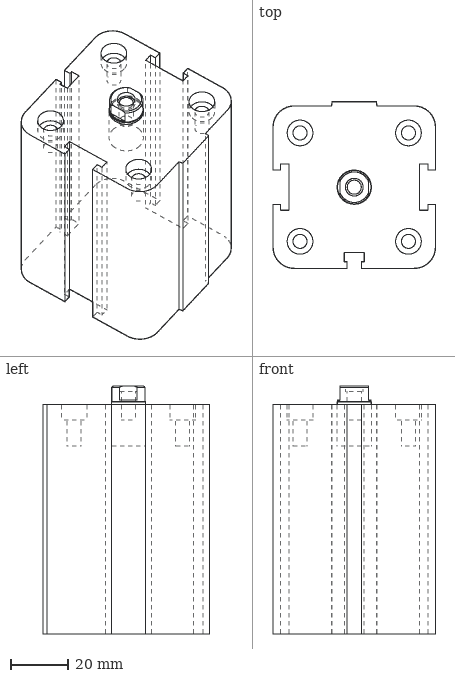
import cadquery as cq

width = 57.0
half_width = width / 2
corner_radius = 7.5
body_height = 80.5
cap_height = 14.5

rib_foot_width = 16.0
rib_top_width = 15.5
rib_height = 1.5

slot_depth = 5.6
side_slot_opening = 12.0
side_slot_width = 16.1
side_slot_lip = 2.7
front_slot_opening = 5.0
front_slot_width = 7.0
front_slot_lip = 2.4

mounting_pitch = 38.0
mounting_bore_diameter = 9.0
mounting_bore_depth = 5.4
mounting_hole_diameter = 4.92
mounting_hole_depth = cap_height

overall_height = 87.0
rod_diameter = 12.0
rod_seat_depth = cap_height
rod_seat_z = body_height - rod_seat_depth
collar_height = 1.2
collar_chamfer = 0.3

head_diameter = 11.7
head_height = overall_height - body_height
head_chamfer = 0.5
across_flats = 10.0
flat_start = 1.5

thread_diameter = 4.92
thread_depth = 12.0
thread_mouth_diameter = 6.2
thread_mouth_depth = 2.0


def t_slot(opening, inner_width, lip):
    """Cutter for a full-height T-slot that opens on the -Y face."""
    outer_y = -half_width
    lip_y = outer_y + lip
    floor_y = outer_y + slot_depth
    return (
        cq.Workplane("XY")
        .polyline([
            (-opening / 2, outer_y),
            (-opening / 2, lip_y),
            (-inner_width / 2, lip_y),
            (-inner_width / 2, floor_y),
            (inner_width / 2, floor_y),
            (inner_width / 2, lip_y),
            (opening / 2, lip_y),
            (opening / 2, outer_y),
        ])
        .close()
        .extrude(body_height)
    )


def make_housing():
    """Square housing with a rib, three T-slots, four mounting holes and the rod bore."""
    block = (
        cq.Workplane("XY")
        .rect(width, width)
        .extrude(body_height)
        .edges("|Z")
        .fillet(corner_radius)
    )
    rib = (
        cq.Workplane("XY")
        .polyline([
            (-rib_foot_width / 2, half_width),
            (-rib_top_width / 2, half_width + rib_height),
            (rib_top_width / 2, half_width + rib_height),
            (rib_foot_width / 2, half_width),
        ])
        .close()
        .extrude(body_height)
    )
    body = block.union(rib)

    body = body.cut(t_slot(front_slot_opening, front_slot_width, front_slot_lip))
    side_slot = t_slot(side_slot_opening, side_slot_width, side_slot_lip)
    for angle in (90, -90):
        body = body.cut(side_slot.rotate((0, 0, 0), (0, 0, 1), angle))

    body = (
        body.faces(">Z")
        .workplane(origin=(0, 0, body_height))
        .rect(mounting_pitch, mounting_pitch, forConstruction=True)
        .vertices()
        .cboreHole(
            mounting_hole_diameter,
            mounting_bore_diameter,
            mounting_bore_depth,
            mounting_hole_depth,
        )
    )
    rod_bore = (
        cq.Workplane("XY", origin=(0, 0, rod_seat_z))
        .circle(rod_diameter / 2)
        .extrude(rod_seat_depth)
    )
    return body.cut(rod_bore)


def make_rod():
    """Piston rod with a chamfered collar and a two-flat head with a threaded hole."""
    shank = (
        cq.Workplane("XY", origin=(0, 0, rod_seat_z))
        .circle(rod_diameter / 2)
        .extrude(rod_seat_depth + collar_height)
        .faces(">Z")
        .chamfer(collar_chamfer)
    )
    head = (
        cq.Workplane("XY", origin=(0, 0, body_height))
        .circle(head_diameter / 2)
        .extrude(head_height)
        .faces(">Z")
        .chamfer(head_chamfer)
    )
    flat_offset = (across_flats + head_diameter) / 2
    flats = (
        cq.Workplane("XY", origin=(0, 0, body_height + flat_start))
        .pushPoints([(-flat_offset, 0), (flat_offset, 0)])
        .rect(head_diameter, head_diameter)
        .extrude(head_height - flat_start)
    )
    return (
        shank.union(head.cut(flats))
        .faces(">Z")
        .workplane(origin=(0, 0, overall_height))
        .cboreHole(thread_diameter, thread_mouth_diameter, thread_mouth_depth, thread_depth)
    )


housing = make_housing()
rod = make_rod()
result = cq.Compound.makeCompound([housing.solids().val(), rod.solids().val()])